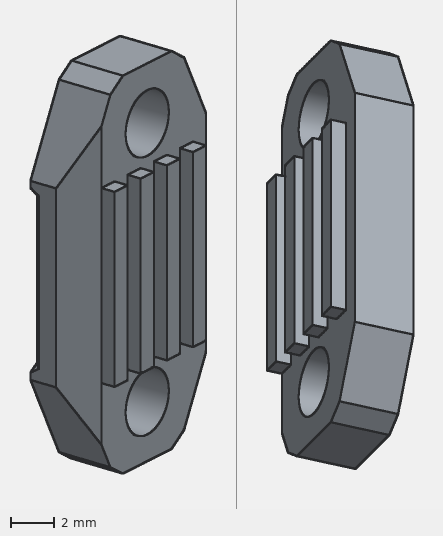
import cadquery as cq
import math

plate_height = 20.0
plate_thickness = 3.0
back_y = 4.5
front_y = -5.0

flank_slope = 2.0
front_edge_half_height = 5.0
shoulder_half_width = 2.82
top_half_width = 1.85

hole_diameter = 3.3
hole_spacing = 14.0

bevel_size = 1.5

notch_leg = 0.5
notch_outer_half_length = 4.65
notch_inner_half_length = 4.32

rib_count = 4
rib_pitch = 2.0
rib_width = 1.0
rib_length = 9.8
rib_height = 0.75


def make_plate():
    """Extrude the outline, which is symmetric about Z = 0."""
    half_height = plate_height / 2
    shoulder_z = front_edge_half_height + flank_slope * (-shoulder_half_width - front_y)
    back_edge_half_height = shoulder_z - flank_slope * (back_y - shoulder_half_width)
    upper_outline = [
        (front_y, front_edge_half_height),
        (-shoulder_half_width, shoulder_z),
        (-top_half_width, half_height),
        (top_half_width, half_height),
        (shoulder_half_width, shoulder_z),
        (back_y, back_edge_half_height),
    ]
    lower_outline = [(y, -z) for y, z in reversed(upper_outline)]
    outline = cq.Workplane("YZ").polyline(upper_outline + lower_outline).close()
    return outline.extrude(plate_thickness)


def make_holes():
    centers = [(0, -hole_spacing / 2), (0, hole_spacing / 2)]
    return cq.Workplane("YZ").pushPoints(centers).circle(hole_diameter / 2).extrude(plate_thickness)


def make_bevel():
    """Triangular prism that removes the front +X edge over the full height."""
    return (
        cq.Workplane("XY")
        .moveTo(plate_thickness, front_y)
        .lineTo(plate_thickness - bevel_size, front_y)
        .lineTo(plate_thickness, front_y + bevel_size)
        .close()
        .extrude(plate_height / 2, both=True)
    )


def make_notch():
    """Trapezoid in the plane bisecting the edge, extruded across the edge."""
    depth = notch_leg / math.sqrt(2)
    edge_plane = cq.Plane(origin=(0, front_y, 0), xDir=(1, 1, 0), normal=(1, -1, 0))
    return (
        cq.Workplane(edge_plane)
        .polyline([
            (0, -notch_outer_half_length),
            (depth, -notch_inner_half_length),
            (depth, notch_inner_half_length),
            (0, notch_outer_half_length),
        ])
        .close()
        .extrude(notch_leg, both=True)
    )


def make_ribs():
    return (
        cq.Workplane("YZ", origin=(plate_thickness, 0, 0))
        .rarray(rib_pitch, 0.2, rib_count, 1)
        .rect(rib_width, rib_length)
        .extrude(rib_height)
    )


result = (
    make_plate()
    .cut(make_bevel())
    .cut(make_notch())
    .cut(make_holes())
    .union(make_ribs())
)